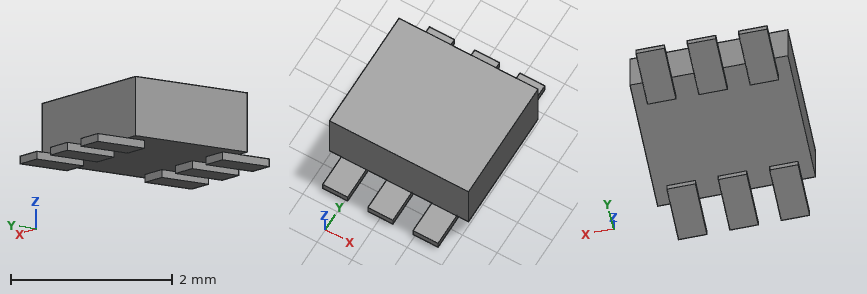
import cadquery as cq

overall_length = 2.61
overall_height = 0.85

housing_width = 2.0
housing_depth = 1.7

lead_width = 0.36
lead_length = 0.71
lead_thickness = 0.1
lead_pitch = 0.65
leads_per_row = 3

housing_height = overall_height - lead_thickness
lead_row_y = (overall_length - lead_length) / 2


def make_housing():
    """Plain block that rests on top of the leads."""
    return (
        cq.Workplane("XY")
        .workplane(offset=lead_thickness)
        .rect(housing_width, housing_depth)
        .extrude(housing_height)
    )


def make_lead(x, y):
    """Flat lead on the base plane, centred at x, y."""
    return cq.Workplane("XY").center(x, y).rect(lead_width, lead_length).extrude(lead_thickness)


housing = make_housing()

leads = []
for row_y in (-lead_row_y, lead_row_y):
    for index in range(leads_per_row):
        lead_x = (index - (leads_per_row - 1) / 2) * lead_pitch
        leads.append(make_lead(lead_x, row_y).val())

result = cq.Compound.makeCompound([housing.val(), *leads])